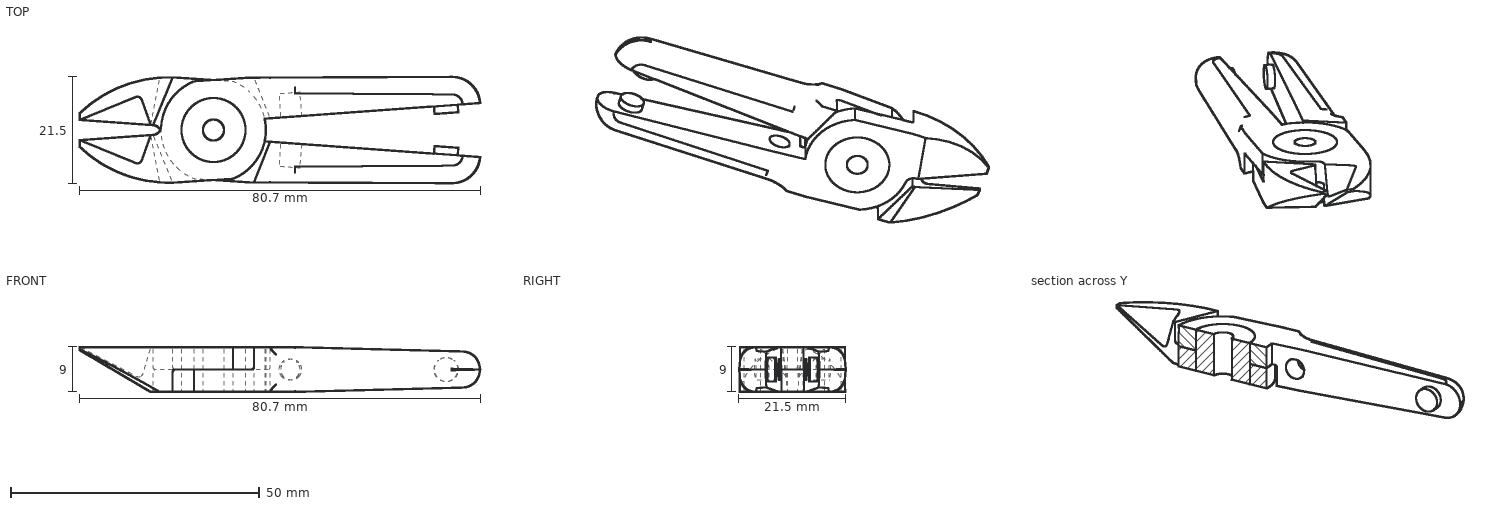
import cadquery as cq
import math

overall_length = 80.7
overall_width = 21.45
thickness = 9.0
half_thick = thickness / 2
open_angle = 4.1
clear = 1.6

pivot_radius = 6.45
bore_radius = 2.1

tip_x = -26.95
tip_inner_y = 2.0
tip_outer_y = 3.4
jaw_width = 10.6
jaw_end_x = -7.2
throat_radius = 1.7

plate_radius = 10.6
side_end_x = 3.95
side_end_y = math.sqrt(plate_radius ** 2 - side_end_x ** 2)
floor_fillet = 0.5

jaw_wall = [(-12.1, 1.1), (-8.2, 10.6)]
handle_wall = [(11.4, -2.4), (8.15, -10.6)]

handle_root_y = 2.25
handle_root_x = math.sqrt(plate_radius ** 2 - handle_root_y ** 2)
handle_outer_y = overall_width / 2
cap_radius = 5.7
cap_y = handle_outer_y - cap_radius
cap_x = tip_x + overall_length - cap_radius * math.cos(math.radians(open_angle))
handle_slope = (cap_y - handle_root_y) / (cap_x - handle_root_x)
handle_angle = math.degrees(math.atan(handle_slope))
grip_x = 16.45
heel_x = -jaw_end_x
grip_y = jaw_width + (handle_outer_y - jaw_width) * (grip_x - heel_x) / (cap_x - heel_x)
grip_end_half = 3.7
grip_radius = 3.2
grip_drop = (half_thick - grip_end_half) / (cap_x - grip_x)
cap_corner_radius = 3.55
runout_length = 5.2
runout_share = 0.99
runout_sections = 6

button_x = 46.8
button_radius = 2.4
button_height = 1.5

spring_x = 15.65
spring_radius = 2.1
spring_depth = 4.8

pocket_apex = (-14.8, 7.0)
pocket_heel = (-12.5, 0.65)
pocket_depth = 7.8
pocket_run = (0.3, -7.2)
pocket_overrun = 1.0
pocket_fillet = 1.05
bevel_tip_z = 3.8
bevel_foot = (-12.7, 1.05)
bevel_skew = 11.0


def polar(centre, radius, degrees):
    """Point on a circle."""
    turn = math.radians(degrees)
    return (centre[0] + radius * math.cos(turn), centre[1] + radius * math.sin(turn))


def throat_points():
    """Ends of the throat fillet, on the jaw's inner edge and on the plate circle."""
    turn = math.radians(open_angle)
    edge_offset = tip_x * math.sin(turn) + tip_inner_y * math.cos(turn)
    across = edge_offset - throat_radius
    along = -math.sqrt((plate_radius + throat_radius) ** 2 - across ** 2)

    def turned(u, v):
        return (u * math.cos(turn) + v * math.sin(turn), v * math.cos(turn) - u * math.sin(turn))

    share = plate_radius / (plate_radius + throat_radius)
    return turned(along, edge_offset), turned(along * share, across * share)


def lever_outline():
    """Plan of one lever: jaw on the +Y side, handle on the -Y side."""
    jaw_corner, plate_corner = throat_points()
    cap_centre = (cap_x, -cap_y)
    return (
        cq.Workplane("XY").workplane(offset=-half_thick)
        .moveTo(tip_x, tip_inner_y)
        .lineTo(*jaw_corner)
        .tangentArcPoint(plate_corner, relative=False)
        .threePointArc(polar((0, 0), plate_radius, 215), (-side_end_x, -side_end_y))
        .lineTo(heel_x, -jaw_width)
        .lineTo(cap_x, -handle_outer_y)
        .threePointArc(polar(cap_centre, cap_radius, -45), polar(cap_centre, cap_radius, -handle_angle))
        .lineTo(handle_root_x, -handle_root_y)
        .threePointArc((plate_radius, 0), (side_end_x, side_end_y))
        .lineTo(jaw_end_x, jaw_width)
        .tangentArcPoint((tip_x, tip_outer_y), relative=False)
        .close()
    )


def stretched(wall, y):
    """Point at the given y on the line of a recess wall."""
    (x1, y1), (x2, y2) = wall
    return (x1 + (x2 - x1) * (y - y1) / (y2 - y1), y)


def plate_recess():
    """Space above the hinge plate, with rounded lower edges along both walls."""
    reach = 2 * jaw_width
    corners = [
        stretched(jaw_wall, -reach),
        stretched(handle_wall, -reach),
        stretched(handle_wall, reach),
        stretched(jaw_wall, reach),
    ]
    space = cq.Workplane("XY").polyline(corners).close().extrude(half_thick + clear)
    return space.faces("<Z").edges("not #Y").edges("not |X").fillet(floor_fillet)


def grip_taper():
    """Wedge that thins the grip from above, square to the inner face of the handle."""
    length = tip_x + overall_length + clear - grip_x
    profile = [(0, 0), (length, -grip_drop * length), (length, clear), (0, clear)]
    wedge = cq.Workplane("XZ").polyline(profile).close().extrude(jaw_width, both=True)
    turned = wedge.rotate((0, 0, 0), (0, 0, 1), -handle_angle)
    return turned.translate((grip_x, grip_radius - grip_y, half_thick))


def corner_section(x, outer_y, top_z, radius, drop=0.0):
    """Material outside a rounded upper corner, drawn across the handle square to its top face."""
    across = cq.Plane(origin=(x, -outer_y, top_z), xDir=(0, 1, 0), normal=(1, 0, -drop))
    return (
        cq.Workplane(across)
        .moveTo(radius, 0)
        .threePointArc(polar((radius, -radius), radius, 135), (0, -radius))
        .lineTo(-clear, -radius)
        .lineTo(-clear, clear)
        .lineTo(radius, clear)
        .close()
    )


def grip_corner():
    """Cutters for the upper outer corner: run-out, straight stretch and rounded cap."""
    start = corner_section(grip_x, grip_y, half_thick, grip_radius)
    end = corner_section(cap_x, handle_outer_y, grip_end_half, cap_corner_radius, grip_drop)
    straight = cq.Solid.makeLoft([start.val(), end.val()], True)

    sweep_radius = (runout_length ** 2 + grip_radius ** 2) / (2 * grip_radius)
    fading = []
    for step in range(runout_sections):
        back = runout_share * runout_length * step / (runout_sections - 1)
        radius = grip_radius - sweep_radius + math.sqrt(sweep_radius ** 2 - back ** 2)
        fading.append(corner_section(grip_x - back, grip_y, half_thick, radius).val())
    runout = cq.Solid.makeLoft(fading, False)

    cap = end.revolve(90, (cap_radius, 0, 0), (cap_radius, 1, 0)).val()
    return [straight, runout, cap]


def inner_face(x):
    """Plane on the inner face of the handle at x, facing out of the metal."""
    turn = math.radians(handle_angle)
    y = -handle_root_y - handle_slope * (x - handle_root_x)
    return cq.Plane(origin=(x, y, 0), xDir=(0, 0, 1), normal=(math.sin(turn), math.cos(turn), 0))


def stop_button():
    """Round button standing square on the inner face, rooted in the handle."""
    root = cq.Workplane(inner_face(button_x)).workplane(offset=-clear)
    return root.circle(button_radius).extrude(button_height + clear)


def spring_hole():
    """Blind hole square to the inner face."""
    return cq.Workplane(inner_face(spring_x)).circle(spring_radius).extrude(-spring_depth)


def lever_blank():
    """Lever before its jaw is ground: jaw at +Y, plate at -Z, handle at -Y."""
    blank = lever_outline().extrude(thickness).cut(plate_recess())
    taper = grip_taper()
    blank = blank.cut(taper).cut(taper.mirror("XY"))
    for cutter in grip_corner():
        blank = blank.cut(cq.Workplane(cutter)).cut(cq.Workplane(cutter.mirror("XY")))
    blank = blank.union(stop_button()).cut(spring_hole())
    return blank.cut(cq.Workplane("XY").circle(pivot_radius).extrude(thickness, both=True))


def cutting_pocket():
    """V pocket in the top of the +Y jaw, sloping down to the cutting edge."""
    corners = [(tip_x, tip_inner_y), pocket_apex, pocket_heel]
    mouth = cq.Wire.makePolygon([cq.Vector(x, y, half_thick) for x, y in corners], close=True)
    run = cq.Vector(*pocket_run, -pocket_depth) * pocket_overrun
    prism = cq.Workplane(cq.Solid.extrudeLinear(mouth, [], run))
    valley_middle = cq.Vector(*pocket_apex, half_thick) + run * 0.5
    return prism.edges(cq.NearestToPointSelector(valley_middle.toTuple())).fillet(pocket_fillet)


def jaw_bevel():
    """Wedge that slopes the underside of the +Y jaw up to its tip."""
    foot_x, foot_y = bevel_foot
    skew = math.radians(bevel_skew)
    run = (foot_x - tip_x) * math.cos(skew)
    slope = (bevel_tip_z + half_thick) / run
    far = run + jaw_width
    profile = [
        (0, -half_thick),
        (-far, slope * far - half_thick),
        (-far, -half_thick - clear),
        (0, -half_thick - clear),
    ]
    wedge = cq.Workplane("XZ").polyline(profile).close().extrude(2 * jaw_width, both=True)
    return wedge.rotate((0, 0, 0), (0, 0, 1), -bevel_skew).translate((foot_x, foot_y, 0))


def levers():
    """Rear and front lever: the front one is turned over, but both jaws are ground the same way up."""
    blank = lever_blank()
    pocket = cutting_pocket()
    bevel = jaw_bevel()
    rear = (blank, pocket, bevel)
    front = (blank.rotate((0, 0, 0), (1, 0, 0), 180), pocket.mirror("XZ"), bevel.mirror("XZ"))
    return [body.cut(jaw_pocket).cut(underside).val() for body, jaw_pocket, underside in (rear, front)]


def pivot():
    """Bored pivot, flush with both faces."""
    return (
        cq.Workplane("XY").workplane(offset=-half_thick)
        .circle(pivot_radius).circle(bore_radius).extrude(thickness)
    )


result = cq.Compound.makeCompound([*levers(), pivot().val()])